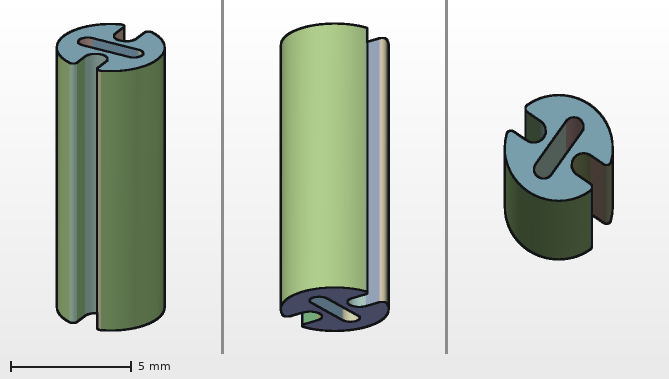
import cadquery as cq

length = 12.0
diameter = 4.5

groove_width = 1.0
groove_bottom = 0.77
groove_mouth = 1.8
lip_radius = 0.19

slot_length = 3.0
slot_width = 0.79


def groove_cutter(side):
    """Round-bottomed groove opening toward +Y (side = 1) or -Y (side = -1)."""
    groove_radius = groove_width / 2
    bottom_center = groove_bottom + groove_radius
    return (
        cq.Workplane("XY")
        .moveTo(-groove_radius, side * diameter)
        .lineTo(-groove_radius, side * bottom_center)
        .threePointArc((0, side * groove_bottom), (groove_radius, side * bottom_center))
        .lineTo(groove_radius, side * diameter)
        .close()
        .extrude(length)
    )


body = cq.Workplane("XY").circle(diameter / 2).extrude(length)
for side in (1, -1):
    body = body.cut(groove_cutter(side))

for side in (1, -1):
    mouth_edges = cq.selectors.BoxSelector(
        (-groove_width, side * groove_mouth, 0),
        (groove_width, side * diameter / 2, length),
    )
    body = body.edges("|Z").edges(mouth_edges).fillet(lip_radius)

slot = cq.Workplane("XY").slot2D(slot_length, slot_width).extrude(length)
result = body.cut(slot)